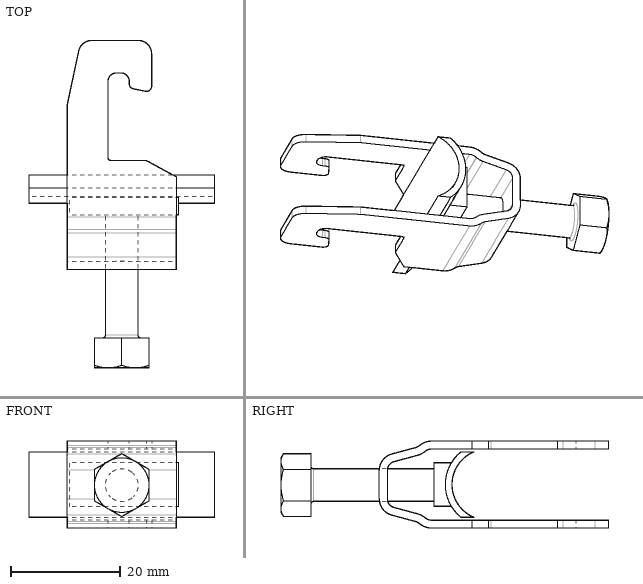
import cadquery as cq
import math


sheet = 1.5
clamp_width = 20.0
clamp_height = 16.0
clamp_length = 42.0
waist_y = 7.05
waist_half_height = 6.9
shoulder_y = 8.35
back_half_height = 5.0
back_radius = 3.1
waist_radius = 1.7
shoulder_radius = 3.5

hook_left_top_x = -7.5
hook_taper_y = 30.2
hook_right_x = 5.5
hook_corner_radius = 2.5
tip_y = 32.4
tip_radius = 1.0
lip_y = 33.25
lip_radius = 1.0
throat_left_x = -2.5
throat_right_x = 1.35
throat_top_y = 36.0
throat_radius = 1.5
throat_floor_y = 20.0
throat_floor_radius = 0.5
ramp_start_x = 4.5
ramp_end_y = 17.0

saddle_length = 34.0
saddle_height = 12.0
saddle_inner_radius = 6.5
saddle_thickness = 1.25
saddle_axis_y = 19.85
block_height = 8.0
block_length = 20.0
block_right_x = 10.4
block_back_y = 10.0

bolt_drop = 0.1
bolt_diameter = 6.0
head_across_flats = 10.0
head_thickness = 5.5
head_end_y = -18.0
head_chamfer_angle = 30.0
neck_radius = 0.5


def rounded_outline(plane, corners):
    """Closed wire through (u, v, radius) corners, each rounded by a tangent arc; radius 0 stays sharp."""
    outline = cq.Workplane(plane)
    count = len(corners)
    for i, (u, v, radius) in enumerate(corners):
        corner = cq.Vector(u, v)
        to_previous = (cq.Vector(*corners[i - 1][:2]) - corner).normalized()
        to_next = (cq.Vector(*corners[(i + 1) % count][:2]) - corner).normalized()
        half_angle = to_previous.getAngle(to_next) / 2
        setback = radius / math.tan(half_angle)
        start = corner + to_previous * setback
        outline = outline.moveTo(start.x, start.y) if i == 0 else outline.lineTo(start.x, start.y)
        if radius > 0:
            bisector = (to_previous + to_next).normalized()
            middle = corner + bisector * (radius / math.sin(half_angle) - radius)
            end = corner + to_next * setback
            outline = outline.threePointArc((middle.x, middle.y), (end.x, end.y))
    return outline.close()


def across_x(outline, length):
    """Extrude a YZ outline to the given length, centred on X = 0."""
    return outline.extrude(length / 2, both=True)


def channel():
    mouth_y = clamp_length + clamp_height
    upper = [
        (0, back_half_height, back_radius),
        (waist_y, waist_half_height, waist_radius),
        (shoulder_y, clamp_height / 2, shoulder_radius),
        (mouth_y, clamp_height / 2, 0),
    ]
    lower = [(y, -z, radius) for y, z, radius in reversed(upper)]
    outer = rounded_outline("YZ", upper + lower)
    inner = rounded_outline("YZ", upper + lower).offset2D(-sheet, "intersection")
    return across_x(outer, clamp_width).cut(across_x(inner, clamp_width))


def hook_blank():
    side = clamp_width / 2
    outline = rounded_outline("XY", [
        (-side, 0, 0),
        (-side, hook_taper_y, 0),
        (hook_left_top_x, clamp_length, hook_corner_radius),
        (hook_right_x, clamp_length, hook_corner_radius),
        (hook_right_x, tip_y, tip_radius),
        (throat_right_x, lip_y, lip_radius),
        (throat_right_x, throat_top_y, throat_radius),
        (throat_left_x, throat_top_y, throat_radius),
        (throat_left_x, throat_floor_y, throat_floor_radius),
        (ramp_start_x, throat_floor_y, 0),
        (side, ramp_end_y, 0),
        (side, 0, 0),
    ])
    return outline.extrude(clamp_height / 2, both=True)


def make_clamp():
    bolt_circle = cq.Workplane("XZ").center(0, -bolt_drop).circle(bolt_diameter / 2)
    bolt_hole = bolt_circle.extrude(2 * sheet, both=True)
    return channel().intersect(hook_blank()).cut(bolt_hole)


def make_saddle():
    outer_radius = saddle_inner_radius + saddle_thickness
    block_depth = saddle_axis_y - block_back_y
    strip = across_x(cq.Workplane("YZ").center(saddle_axis_y, 0).circle(outer_radius), saddle_length)
    block = (
        cq.Workplane("XY")
        .box(block_length, block_depth, block_height)
        .translate((block_right_x - block_length / 2, block_back_y + block_depth / 2, 0))
    )
    bore = across_x(cq.Workplane("YZ").center(saddle_axis_y, 0).circle(saddle_inner_radius), saddle_length)
    keep = (
        cq.Workplane("XY")
        .box(saddle_length, block_depth, saddle_height)
        .translate((0, block_back_y + block_depth / 2, 0))
    )
    return strip.union(block).cut(bore).intersect(keep)


def make_bolt():
    head_seat_y = head_end_y + head_thickness
    flat_radius = head_across_flats / 2
    corner_radius = flat_radius / math.cos(math.pi / 6)
    chamfer_depth = (corner_radius - flat_radius) * math.tan(math.radians(head_chamfer_angle))
    head = (
        cq.Workplane("XZ", origin=(0, head_seat_y, 0))
        .transformed(rotate=(0, 0, 90))
        .polygon(6, 2 * corner_radius)
        .extrude(head_thickness)
    )
    chamfer_envelope = (
        cq.Workplane("XY")
        .moveTo(0, head_end_y)
        .lineTo(flat_radius, head_end_y)
        .lineTo(corner_radius, head_end_y + chamfer_depth)
        .lineTo(corner_radius, head_seat_y)
        .lineTo(0, head_seat_y)
        .close()
        .revolve(360, (0, 0, 0), (0, 1, 0))
    )
    shank_radius = bolt_diameter / 2
    neck_middle = neck_radius * (1 - math.sqrt(0.5))
    shank = (
        cq.Workplane("XY")
        .moveTo(0, head_seat_y)
        .lineTo(shank_radius + neck_radius, head_seat_y)
        .threePointArc(
            (shank_radius + neck_middle, head_seat_y + neck_middle),
            (shank_radius, head_seat_y + neck_radius),
        )
        .lineTo(shank_radius, block_back_y)
        .lineTo(0, block_back_y)
        .close()
        .revolve(360, (0, 0, 0), (0, 1, 0))
    )
    return head.intersect(chamfer_envelope).union(shank).translate((0, 0, -bolt_drop))


clamp = make_clamp()
saddle = make_saddle()
bolt = make_bolt()

result = cq.Compound.makeCompound([clamp.solids().val(), saddle.solids().val(), bolt.solids().val()])